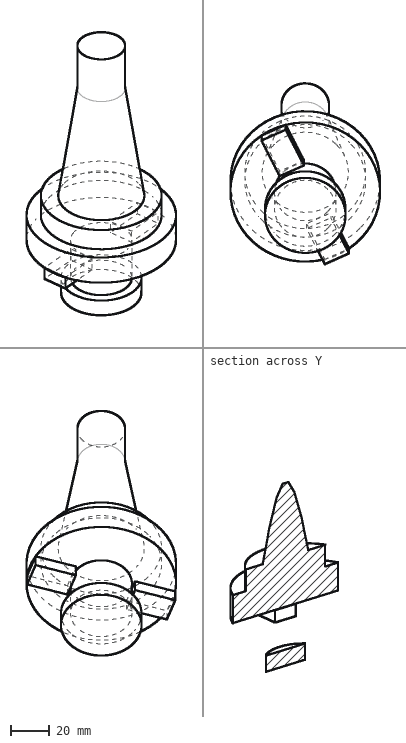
import cadquery as cq

COLLAR_HEIGHT = 9.4
PILOT_HEIGHT = 23.8
FLANGE_HEIGHT = 16.0
STEP_HEIGHT = 12.2

COLLAR_DIAMETER = 42.0
PILOT_DIAMETER = 32.0
FLANGE_DIAMETER = 78.0
STEP_DIAMETER = 63.0
GAUGE_DIAMETER = 44.45
SHANK_DIAMETER = 25.0

TAPER_RATIO = 7 / 24
GAUGE_LINE_OFFSET = 1.6
GAUGE_TO_TOP = 93.4
TAPER_LARGE_DIAMETER = GAUGE_DIAMETER + GAUGE_LINE_OFFSET * TAPER_RATIO
TAPER_HEIGHT = (TAPER_LARGE_DIAMETER - SHANK_DIAMETER) / TAPER_RATIO

KEY_WIDTH = 14.0
KEY_HEIGHT = 7.0
KEY_CLEARANCE = 0.25
KEY_INNER_END = PILOT_DIAMETER / 2 + KEY_CLEARANCE
KEY_OUTER_END = ((FLANGE_DIAMETER / 2) ** 2 - (KEY_WIDTH / 2) ** 2) ** 0.5
KEY_LENGTH = KEY_OUTER_END - KEY_INNER_END

PILOT_BASE = COLLAR_HEIGHT
FLANGE_BASE = PILOT_BASE + PILOT_HEIGHT
STEP_BASE = FLANGE_BASE + FLANGE_HEIGHT
TAPER_BASE = STEP_BASE + STEP_HEIGHT
SHANK_BASE = TAPER_BASE + TAPER_HEIGHT
TOP = TAPER_BASE + GAUGE_LINE_OFFSET + GAUGE_TO_TOP


def arbor_body():
    """Revolve the half profile of the collar, pilot, flange, step, taper and shank."""
    half_profile = [
        (0, 0),
        (COLLAR_DIAMETER / 2, 0),
        (COLLAR_DIAMETER / 2, PILOT_BASE),
        (PILOT_DIAMETER / 2, PILOT_BASE),
        (PILOT_DIAMETER / 2, FLANGE_BASE),
        (FLANGE_DIAMETER / 2, FLANGE_BASE),
        (FLANGE_DIAMETER / 2, STEP_BASE),
        (STEP_DIAMETER / 2, STEP_BASE),
        (STEP_DIAMETER / 2, TAPER_BASE),
        (TAPER_LARGE_DIAMETER / 2, TAPER_BASE),
        (SHANK_DIAMETER / 2, SHANK_BASE),
        (SHANK_DIAMETER / 2, TOP),
        (0, TOP),
    ]
    return cq.Workplane("XZ").polyline(half_profile).close().revolve(360, (0, 0), (0, 1))


def drive_key(side):
    """One key under the flange, on the +Y side for side 1 or the -Y side for side -1."""
    centre_y = side * (KEY_INNER_END + KEY_OUTER_END) / 2
    return (
        cq.Workplane("XY")
        .workplane(offset=FLANGE_BASE - KEY_HEIGHT)
        .center(0, centre_y)
        .rect(KEY_WIDTH, KEY_LENGTH)
        .extrude(KEY_HEIGHT)
    )


result = arbor_body()
for side in (1, -1):
    result = result.union(drive_key(side))